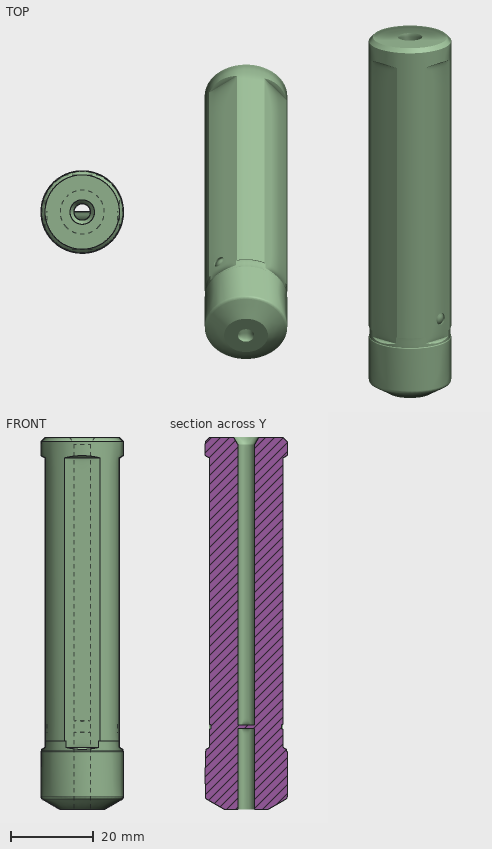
import cadquery as cq
import math

length = 90.0
body_radius = 10.0
top_chamfer = 1.0
neck_radius = 9.8
neck_top = 16.65
lip_bottom = 13.95
lip_radius = body_radius - neck_radius
cap_top = lip_bottom + lip_radius

nose_radius = 5.3
nose_angle = 30.0
nose_blend = 0.9

flat_distance = 9.0
flat_bottom = 15.0
flat_top = 85.05
flat_count = 4
end_slope_angle = 30.0

bore_radius = 2.0
centre_radius = 3.0
centre_half_angle = 30.0

pin_radius = 1.4
pin_dome_height = 0.45
pin_y = -1.35
pin_z = 20.1


def make_body():
    """Revolve the stepped outline about Z."""
    nose_height = (body_radius - nose_radius) * math.tan(math.radians(nose_angle))
    outline = (
        cq.Workplane("XZ")
        .moveTo(0, 0)
        .lineTo(nose_radius, 0)
        .lineTo(body_radius, nose_height)
        .lineTo(body_radius, lip_bottom)
        .radiusArc((neck_radius, cap_top), -lip_radius)
        .lineTo(neck_radius, neck_top)
        .lineTo(body_radius, neck_top)
        .lineTo(body_radius, length - top_chamfer)
        .lineTo(body_radius - top_chamfer, length)
        .lineTo(0, length)
        .close()
    )
    body = outline.revolve(360, (0, 0, 0), (0, 1, 0))
    rim = cq.selectors.BoxSelector(
        (-body_radius, -body_radius, nose_height - nose_blend),
        (body_radius, body_radius, nose_height + nose_blend),
    )
    return body.edges("%CIRCLE").edges(rim).fillet(nose_blend)


def make_flat_cutter():
    """Material outside the -X flat, with both ends sloped."""
    depth = 2 * (body_radius - flat_distance)
    end_rise = depth * math.tan(math.radians(end_slope_angle))
    return (
        cq.Workplane("XZ")
        .moveTo(-flat_distance, flat_bottom)
        .lineTo(-flat_distance - depth, flat_bottom - end_rise)
        .lineTo(-flat_distance - depth, flat_top + end_rise)
        .lineTo(-flat_distance, flat_top)
        .close()
        .extrude(body_radius, both=True)
    )


def cut_flats(body):
    """Cut four equal flats around the body."""
    above_cap = cq.Workplane("XY").workplane(offset=cap_top).circle(2 * body_radius).extrude(length)
    cutter = make_flat_cutter().intersect(above_cap)
    for index in range(flat_count):
        body = body.cut(cutter.rotate((0, 0, 0), (0, 0, 1), index * 360 / flat_count))
    return body


def cut_bore(body):
    """Cut the through bore and the conical centre in the top face."""
    centre_depth = (centre_radius - bore_radius) / math.tan(math.radians(centre_half_angle))
    bore = (
        cq.Workplane("XZ")
        .lineTo(bore_radius, 0)
        .lineTo(bore_radius, length - centre_depth)
        .lineTo(centre_radius, length)
        .lineTo(0, length)
        .close()
        .revolve(360, (0, 0, 0), (0, 1, 0))
    )
    return body.cut(bore)


def make_pin():
    """Pin whose domed ends are flush with the opposite flats at their crowns."""
    shoulder = flat_distance - pin_dome_height
    middle_x, middle_radius = dome_middle()
    return (
        cq.Workplane("XY")
        .moveTo(-flat_distance, 0)
        .lineTo(flat_distance, 0)
        .threePointArc((middle_x, middle_radius), (shoulder, pin_radius))
        .lineTo(-shoulder, pin_radius)
        .threePointArc((-middle_x, middle_radius), (-flat_distance, 0))
        .close()
        .revolve(360, (0, 0, 0), (1, 0, 0))
        .translate((0, pin_y, pin_z))
    )


def dome_middle():
    """Point halfway along the dome arc, from crown to shoulder."""
    sphere_radius = (pin_radius**2 + pin_dome_height**2) / (2 * pin_dome_height)
    half_sweep = math.asin(pin_radius / sphere_radius) / 2
    sphere_centre = flat_distance - sphere_radius
    return (
        sphere_centre + sphere_radius * math.cos(half_sweep),
        sphere_radius * math.sin(half_sweep),
    )


def make_pin_hole():
    """Cross hole that the pin fills."""
    return (
        cq.Workplane("YZ")
        .center(pin_y, pin_z)
        .circle(pin_radius)
        .extrude(body_radius, both=True)
    )


body = cut_bore(cut_flats(make_body()))
result = body.cut(make_pin_hole()).union(make_pin())